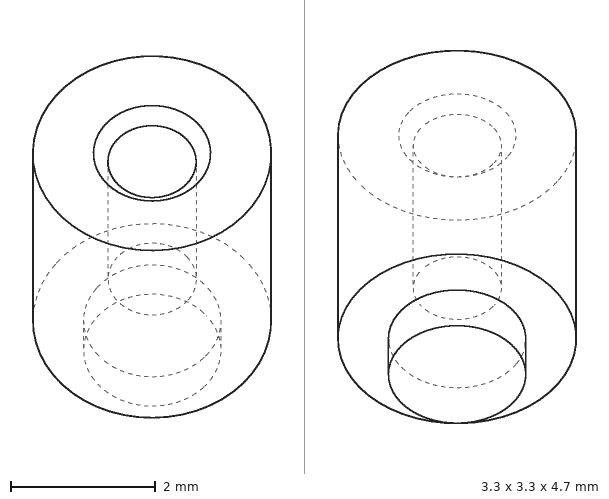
import cadquery as cq
import math

body_diameter = 3.3
body_height = 4.0
spigot_diameter = 1.9
spigot_height = 0.7

hole_diameter = 1.22
hole_depth = 3.0
drill_point_angle = 118.0
mouth_chamfer = 0.2


def make_standoff():
    """Cylindrical body standing on a smaller spigot, with the body underside at Z = 0."""
    body = cq.Workplane("XY").circle(body_diameter / 2).extrude(body_height)
    spigot = cq.Workplane("XY").circle(spigot_diameter / 2).extrude(-spigot_height)
    return body.union(spigot)


def make_hole():
    """Drilled hole with a conical bottom and a 45 degree chamfered mouth, as a solid to cut."""
    hole_radius = hole_diameter / 2
    mouth_radius = hole_radius + mouth_chamfer
    wall_bottom = body_height - hole_depth
    cone_height = hole_radius / math.tan(math.radians(drill_point_angle / 2))
    half_profile = (
        cq.Workplane("XZ")
        .moveTo(0, wall_bottom - cone_height)
        .lineTo(hole_radius, wall_bottom)
        .lineTo(hole_radius, body_height - mouth_chamfer)
        .lineTo(mouth_radius, body_height)
        .lineTo(0, body_height)
        .close()
    )
    return half_profile.revolve(360, (0, 0, 0), (0, 1, 0))


result = make_standoff().cut(make_hole())